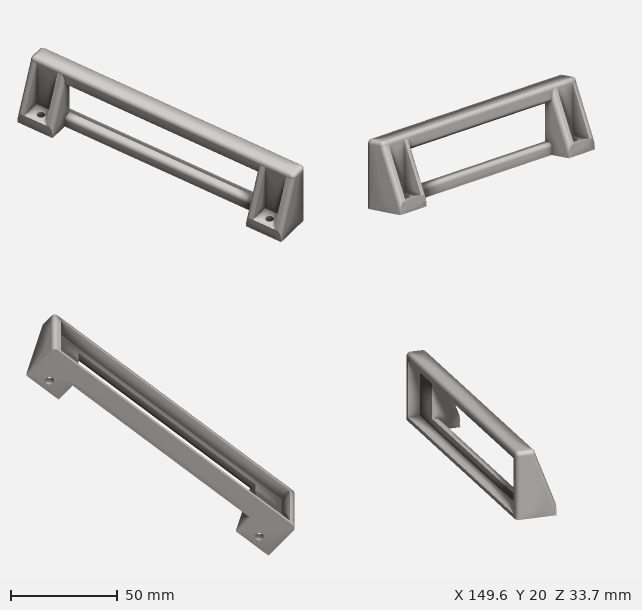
import cadquery as cq

length = 149.6
depth = 20.0
height = 33.7
edge_radius = 2.1
wall = 4.0

bar_depth = depth / 2
leg_width = depth
top_bar_height = 8.2
bottom_bar_height = 6.0
recess_floor = 2.0
opening_length = length - 2 * leg_width

base_height = bottom_bar_height
slope_top = height - edge_radius
foot_back = bar_depth - wall
foot_spacing = length - leg_width

hole_diameter = 4.0
hole_y = -(bar_depth + depth) / 2


def block(size_x, y_back, y_front, z_low, z_high):
    """Box centred on X between two depths and two heights."""
    return (
        cq.Workplane("XY")
        .box(size_x, y_back - y_front, z_high - z_low, centered=(True, False, False))
        .translate((0, y_front, z_low))
    )


def make_frame():
    """Frame with rounded ends, top and bar edges."""
    frame = block(length, 0, -bar_depth, 0, height)
    frame = frame.edges("|Z or >Z").fillet(edge_radius)
    opening_top = height - top_bar_height
    frame = frame.cut(block(opening_length, 0, -bar_depth, bottom_bar_height, opening_top))

    for z in (bottom_bar_height, opening_top):
        long_edge = cq.selectors.NearestToPointSelector((0, -bar_depth, z))
        frame = frame.edges(long_edge).fillet(edge_radius)

    recess = block(length - 2 * wall, 0, wall - bar_depth, recess_floor, height - wall)
    return frame.cut(recess)


def make_foot():
    """Foot centred on X: rounded slope, flat front, pocket and screw hole."""
    slope_run = (depth - bar_depth) / (slope_top - base_height)
    toe = depth + slope_run * base_height
    profile = [
        (-foot_back, 0),
        (-foot_back, slope_top),
        (-bar_depth, slope_top),
        (-toe, 0),
    ]
    foot = (
        cq.Workplane("YZ")
        .polyline(profile)
        .close()
        .extrude(leg_width / 2, both=True)
    )
    foot = foot.faces("<Y").edges("not |X").fillet(edge_radius)
    foot = foot.intersect(block(leg_width, 0, -depth, 0, height))

    foot = foot.cut(block(leg_width - 2 * wall, -bar_depth, -depth, base_height, height))
    hole = cq.Workplane("XY").center(0, hole_y).circle(hole_diameter / 2).extrude(base_height)
    return foot.cut(hole)


result = make_frame()
for side in (-1, 1):
    result = result.union(make_foot().translate((side * foot_spacing / 2, 0, 0)))